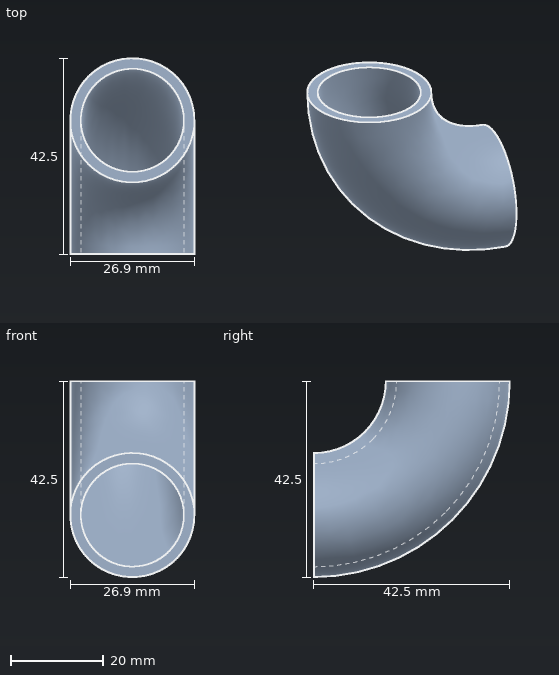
import cadquery as cq

overall_reach = 42.45
outer_diameter = 26.9
wall_thickness = 2.3
bend_angle = 90.0

outer_radius = outer_diameter / 2
inner_radius = outer_radius - wall_thickness
bend_radius = overall_reach - outer_radius

result = (
    cq.Workplane("XZ")
    .center(0, -bend_radius)
    .circle(outer_radius)
    .circle(inner_radius)
    .revolve(bend_angle, (0, bend_radius, 0), (1, bend_radius, 0))
)